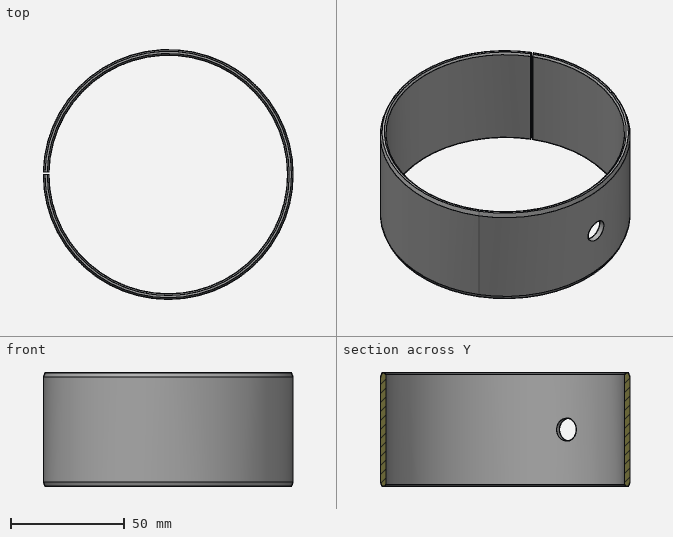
import cadquery as cq
import math

outer_diameter = 110.0
height = 50.0
wall = 2.5
outer_radius = outer_diameter / 2
inner_radius = outer_radius - wall

bevel_height = 2.0
bevel_depth = 0.8

inner_bevel_height = 0.9
inner_bevel_depth = 0.8

split_width = 1.0

hole_diameter = 10.0
hole_angle = 59.0
hole_height = height / 2


def sleeve():
    """Revolve the wall section, with all four corners bevelled."""
    rim_radius = outer_radius - bevel_depth
    section = [
        (inner_radius, inner_bevel_height),
        (inner_radius + inner_bevel_depth, 0),
        (rim_radius, 0),
        (outer_radius, bevel_height),
        (outer_radius, height - bevel_height),
        (rim_radius, height),
        (inner_radius + inner_bevel_depth, height),
        (inner_radius, height - inner_bevel_height),
    ]
    return cq.Workplane("XZ").polyline(section).close().revolve(360, (0, 0, 0), (0, 1, 0))


def split():
    """Thin slab that opens the ring along its full height."""
    slab = cq.Workplane("XY").box(outer_radius, split_width, height, centered=False)
    return slab.translate((-outer_radius, 0, 0))


def radial_hole():
    """Cylinder from the axis outward at the hole's angle."""
    angle = math.radians(hole_angle)
    direction = (math.cos(angle), math.sin(angle), 0)
    plane = cq.Plane(origin=(0, 0, hole_height), normal=direction)
    return cq.Workplane(plane).circle(hole_diameter / 2).extrude(outer_diameter)


result = sleeve().cut(split()).cut(radial_hole())